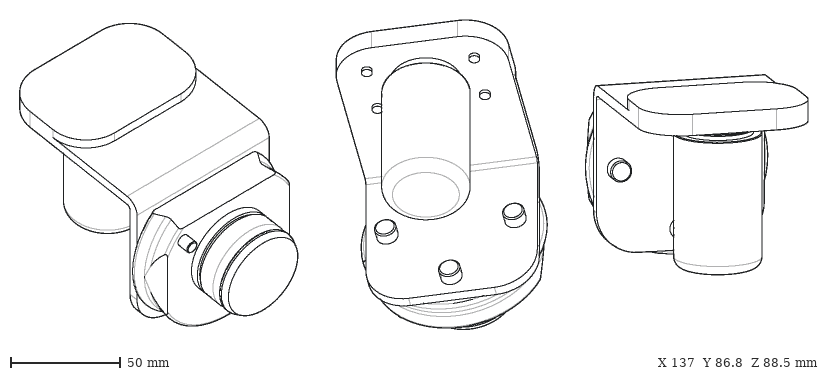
import cadquery as cq
import math

pad_length = 56.0
pad_thickness = 10.0
width = 80.0
corner_radius = 20.0
sheet = pad_thickness / 2
bracket_x = 95.0
bracket_bottom = -85.1
bend_outer = 7.0
bend_inner = bend_outer - sheet

pin_x = 27.8
pin_diameter = 40.5
pin_top = -16.0
pin_bottom = -79.3
pin_end_round = 5.0
pin_top_chamfer = 0.4
collar_diameter = 33.2
collar_bottom = -13.3
neck_diameter = 32.6
groove_diameter = 30.7
groove_bottom = -14.1

stud_diameter = 5.0
stud_height = 1.6
stud_offset_x = 12.9
stud_offset_y = 25.1

flange_z = -45.1
flange_radius = 43.4
flange_end = 112.8
rim_round = 1.4
cone_angle = math.radians(22)
waist_x = 103.2
flare_radius = 41.9
waist_round = 6.5
flare_round = 1.2
flange_top_height = 30.0
side_cut_margin = 1.4
waist_margin = 1.4

spigot_radius = 45.0 / 2
spigot_tip_radius = 42.0 / 2
spigot_end = 137.0
groove_start = 116.9
groove_end = 118.9
spigot_taper_start = 127.8
ridge_start = 132.5
ridge_end = 133.7
spigot_taper = 0.5

locator_diameter = 6.0
locator_end = 119.3
locator_y = 27.5
locator_z = 22.5
locator_chamfer = 0.4

screw_diameter = 10.0
screw_circle_radius = 29.9
screw_length = 6.3
screw_chamfer = 0.7


def cylinder_x(x_start, x_end, diameter, y, z):
    """Cylinder along X, centred on (y, z)."""
    start = cq.Workplane("YZ", origin=(x_start, y, z))
    return start.circle(diameter / 2).extrude(x_end - x_start)


def turned_about_flange_axis(half_profile):
    """Revolve an (x, radius) profile about the flange axis."""
    turned = half_profile.close().revolve(360, (0, 0, 0), (1, 0, 0))
    return turned.rotate((0, 0, 0), (1, 0, 0), 90).translate((0, 0, flange_z))


def make_bracket():
    leg_start = pad_length - corner_radius
    profile = (
        cq.Workplane("XZ")
        .moveTo(leg_start, -sheet)
        .lineTo(bracket_x - bend_outer, -sheet)
        .radiusArc((bracket_x, -sheet - bend_outer), bend_outer)
        .lineTo(bracket_x, bracket_bottom)
        .lineTo(bracket_x - sheet, bracket_bottom)
        .lineTo(bracket_x - sheet, -pad_thickness - bend_inner)
        .radiusArc((bracket_x - bend_outer, -pad_thickness), -bend_inner)
        .lineTo(leg_start, -pad_thickness)
        .close()
    )
    bracket = profile.extrude(width / 2, both=True)
    return bracket.faces("<Z").edges("|X").fillet(corner_radius)


def make_pad():
    pad = cq.Workplane("XY").box(pad_length, width, pad_thickness, centered=(False, True, False))
    return pad.translate((0, 0, -pad_thickness)).edges("|Z").fillet(corner_radius)


def make_hanging_pin():
    def section(top, bottom, diameter):
        return cq.Workplane("XY", origin=(pin_x, 0, bottom)).circle(diameter / 2).extrude(top - bottom)

    body = section(pin_top, pin_bottom, pin_diameter)
    body = body.faces("<Z").edges().fillet(pin_end_round)
    body = body.faces(">Z").edges().chamfer(pin_top_chamfer)
    collar = section(-pad_thickness, collar_bottom, collar_diameter)
    groove = section(collar_bottom, groove_bottom, groove_diameter)
    neck = section(groove_bottom, pin_top, neck_diameter)
    return body.union(neck).union(groove).union(collar)


def make_studs():
    centers = [(pin_x + sx * stud_offset_x, sy * stud_offset_y) for sx in (-1, 1) for sy in (-1, 1)]
    base = cq.Workplane("XY", origin=(0, 0, -pad_thickness))
    return base.pushPoints(centers).circle(stud_diameter / 2).extrude(-stud_height)


def rim_point(angle):
    """Point on the rounded rim of the flange, with the angle measured from the radial direction."""
    x = bracket_x + rim_round + rim_round * math.sin(angle)
    radius = flange_radius - rim_round + rim_round * math.cos(angle)
    return x, radius


def cone_radius(x):
    """Distance from the axis of the cone line that leaves the rim tangentially."""
    rim_x, rim_radius = rim_point(cone_angle)
    return rim_radius - (x - rim_x) * math.tan(cone_angle)


def make_flange():
    profile = (
        cq.Workplane("XY")
        .moveTo(bracket_x, 0)
        .lineTo(bracket_x, flange_radius - rim_round)
        .threePointArc(rim_point(0), rim_point(cone_angle))
        .lineTo(waist_x, cone_radius(waist_x))
        .lineTo(flange_end, flare_radius)
        .lineTo(flange_end, 0)
    )
    body = turned_about_flange_axis(profile)
    body = body.faces(">X").edges().fillet(flare_round)
    near_waist = cq.selectors.BoxSelector(
        (waist_x - waist_margin, -flange_radius, flange_z - flange_radius),
        (waist_x + waist_margin, flange_radius, flange_z + flange_radius),
    )
    body = body.edges(near_waist).fillet(waist_round)

    size = 2 * flange_radius
    top_cut = cq.Workplane("XY").box(size, 2 * size, size, centered=(True, True, False))
    body = body.cut(top_cut.translate((waist_x, 0, flange_z + flange_top_height)))

    cut_start = waist_x - side_cut_margin
    cut_end = flange_end + side_cut_margin
    side_cut = (
        cq.Workplane("XY", origin=(0, 0, flange_z))
        .moveTo(cut_start, cone_radius(cut_start))
        .lineTo(cut_end, cone_radius(cut_end))
        .lineTo(cut_end, size)
        .lineTo(cut_start, size)
        .close()
        .extrude(size, both=True)
    )
    return body.cut(side_cut).cut(side_cut.mirror("XZ"))


def make_spigot():
    profile = (
        cq.Workplane("XY")
        .moveTo(bracket_x, 0)
        .lineTo(bracket_x, spigot_radius)
        .lineTo(groove_start, spigot_radius)
        .lineTo(groove_start, spigot_tip_radius)
        .lineTo(groove_end, spigot_tip_radius)
        .lineTo(groove_end, spigot_radius)
        .lineTo(spigot_taper_start, spigot_radius)
        .lineTo(ridge_start, spigot_radius - spigot_taper)
        .lineTo(ridge_start, spigot_radius)
        .lineTo(ridge_end, spigot_radius)
        .lineTo(spigot_end, spigot_tip_radius)
        .lineTo(spigot_end, 0)
    )
    return turned_about_flange_axis(profile)


def make_locator(side):
    """Side -1 is the upper pin at -Y, side +1 the lower pin at +Y."""
    pin = cylinder_x(bracket_x, locator_end, locator_diameter, side * locator_y, flange_z - side * locator_z)
    return pin.faces(">X").edges().chamfer(locator_chamfer)


def make_screw(angle):
    y = screw_circle_radius * math.cos(math.radians(angle))
    z = flange_z + screw_circle_radius * math.sin(math.radians(angle))
    inner_face = bracket_x - sheet
    screw = cylinder_x(inner_face - screw_length, bracket_x, screw_diameter, y, z)
    return screw.faces("<X").edges().chamfer(screw_chamfer)


result = make_bracket().union(make_pad()).union(make_hanging_pin()).union(make_studs())
result = result.union(make_flange()).union(make_spigot())
for side in (-1, 1):
    result = result.union(make_locator(side))
for angle in (0, 180, 270):
    result = result.union(make_screw(angle))